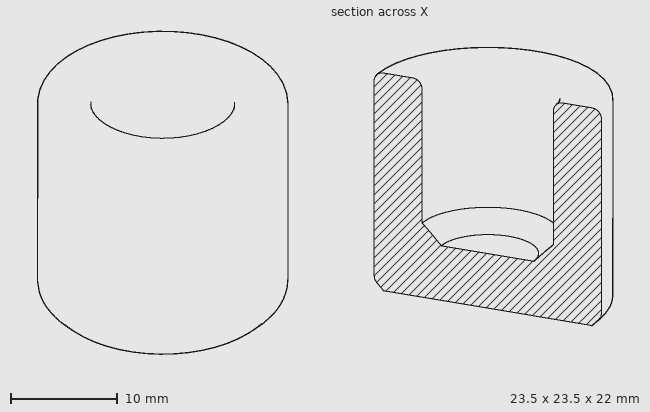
import cadquery as cq
import math

outer_diameter = 23.5
height = 22.0
edge_radius = 1.0

bore_diameter = 13.5
floor_diameter = 9.55
bore_depth = 16.45
cone_half_angle = 45.0

bevel_width = 1.0
bevel_height = 1.0
bevel_blend_radius = 1.0

outer_radius = outer_diameter / 2
bore_radius = bore_diameter / 2
floor_radius = floor_diameter / 2
cone_height = (bore_radius - floor_radius) / math.tan(math.radians(cone_half_angle))


def make_body():
    """Solid cylinder with a rounded top edge and a blended bottom bevel."""
    body = cq.Workplane("XY").circle(outer_radius).extrude(height)
    body = body.faces("<Z").chamfer(bevel_height, bevel_width)
    wall_bevel_edge = cq.selectors.NearestToPointSelector((0, 0, bevel_height))
    body = body.edges(wall_bevel_edge).fillet(bevel_blend_radius)
    return body.faces(">Z").edges().fillet(edge_radius)


def make_bore():
    """Revolved blind bore with a conical bottom and a flat floor."""
    floor_z = height - bore_depth
    return (
        cq.Workplane("XZ")
        .moveTo(0, floor_z)
        .lineTo(floor_radius, floor_z)
        .lineTo(bore_radius, floor_z + cone_height)
        .lineTo(bore_radius, height)
        .lineTo(0, height)
        .close()
        .revolve(360, (0, 0, 0), (0, 1, 0))
    )


def round_bore_mouth(part):
    """Round the inner edge of the top face."""
    return part.faces(">Z").edges(cq.selectors.RadiusNthSelector(0)).fillet(edge_radius)


result = round_bore_mouth(make_body().cut(make_bore()))